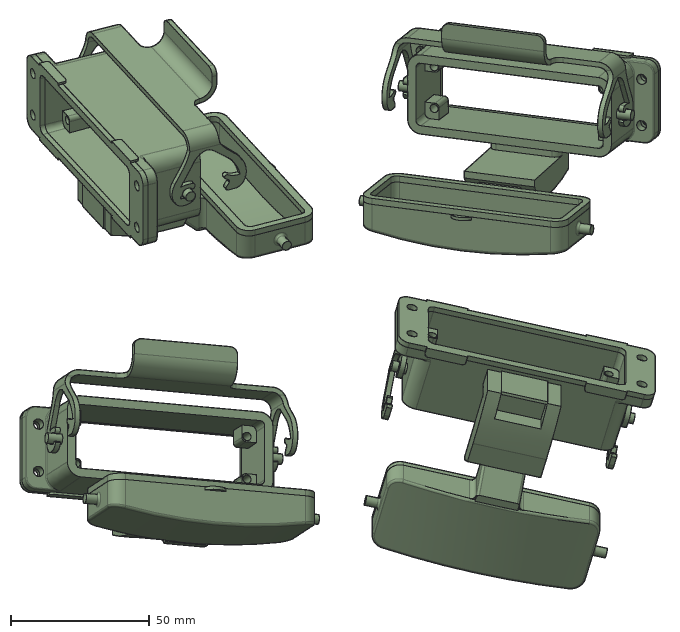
import cadquery as cq
import math


FLANGE_LENGTH = 96.0
FLANGE_HEIGHT = 30.9
FLANGE_CORNER = 4.0
FLANGE_BACK = 6.0
GASKET_THICKNESS = 2.0
BOLT_X = 43.0
BOLT_Z = 8.8
BOLT_DIAMETER = 3.7
CLIP_CENTRE_X = 29.9
CLIP_LENGTH = 15.4
CLIP_DEPTH = 3.7
CLIP_HEIGHT = 0.9
CLIP_CORNER = 1.3

TUBE_BACK = 27.2
TUBE_LENGTH = 80.1
OUTER_DRAFT = 0.7
TUBE_CORNER = 5.5
TUBE_FOOT_FILLET = 0.4
OPENING_LENGTH = 73.9
OPENING_HEIGHT = 24.8
OPENING_DRAFT = 1.0
OPENING_CORNER = 2.4
SCREW_X = 33.0
SCREW_Z = 8.0
SCREW_DIAMETER = 3.1
SCREW_POST_INNER_X = 31.1
SCREW_POST_INNER_Z = 6.0
SCREW_POST_CORNER = 1.5
SCREW_POST_BITE = 1.0
SCREW_POST_FRONT = 9.0
SCREW_POST_LENGTH = 9.0

HOUSING_PIN_RADIUS = 1.9
HOUSING_PIN_Y = 20.5
HOUSING_PIN_END = 45.3
COVER_PIN_RADIUS = 1.8
COVER_PIN_Y = 59.4
COVER_PIN_Z = -31.7
COVER_PIN_END = 45.0
COVER_PIN_FILLET = 0.9

STRAP_THICKNESS = 1.9
STRAP_HALF_WIDTH = 43.0
STRAP_TOP = 23.2
STRAP_BEND = 5.8
STRAP_BEND_END = STRAP_TOP - STRAP_BEND
STRAP_FRONT = 21.3
STRAP_REAR = 33.2
HOOK_BOTTOM = -5.8
LEVER_MARGIN = 1.9
PIN_SEAT_RADIUS = 2.2
SEAT_NOTCH_DEPTH = 2.8
SEAT_NOTCH_BOTTOM = -1.5
SEAT_NOTCH_HEIGHT = 0.7
HANDLE_HALF_WIDTH = 20.0
HANDLE_ROOT_FILLET = 3.3
HANDLE_BACK = 43.5
HANDLE_TOP = 34.2
HANDLE_INNER_BEND = 5.1
HANDLE_CORNER = 2.9

COVER_FRONT = 44.1
COVER_DEPTH = 30.2
COVER_LENGTH = 79.7
COVER_CORNER = 5.1
COVER_TOP = -27.3
COVER_EDGE_BOTTOM = -36.9
COVER_BOTTOM = -41.0
COVER_BOTTOM_FILLET = 1.0
COVER_FLOOR = 2.5
COVER_CAVITY_LENGTH = 74.6
COVER_CAVITY_DEPTH = 24.0
COVER_CAVITY_CORNER = 2.4
SEAL_THICKNESS = 2.3
TONGUE_HALF_WIDTH = 4.0
TONGUE_LENGTH = 2.0
TONGUE_THICKNESS = 1.2
COVER_ARM_HALF_WIDTH = 8.1
COVER_ARM_FILLET = 2.0
COVER_ARM_HEEL_Y = 41.2

BRACKET_HALF_WIDTH = 13.7
BRACKET_FRONT = 3.8
BRACKET_POST_BACK = 13.0
BRACKET_POST_CORNER = 2.8
BRACKET_PAD_HALF_WIDTH = 8.6
BRACKET_PAD_FRONT = 3.3
BRACKET_TOP = -15.3
BRACKET_TOE_Z = -29.4
BRACKET_ARM_ROOT_Z = -22.7
BRACKET_FLAT_FRONT = 25.0
BRACKET_TIP = (37.0, -23.6)
HINGE_TOP = (37.0, -26.2)
HINGE_BOTTOM = (33.0, -33.3)
BRACKET_POCKET_FRONT = 4.2
BRACKET_POCKET_BACK = 13.4
BRACKET_POCKET_TOP = -25.9

COVER_MIDDLE = COVER_FRONT + COVER_DEPTH / 2
SELECTION_MARGIN = 1.0
SIDES = (-1, 1)


def rounded_slab(length, height, corner, y_front, y_back):
    """Upright slab with four rounded corners between two Y positions."""
    slab = cq.Workplane("XZ", origin=(0, y_front, 0)).rect(length, height)
    return slab.extrude(y_front - y_back).edges("|Y").fillet(corner)


def drafted_block(length, height, corner, draft, y_front, y_back):
    """Rounded block whose four sides all lean inward by the draft angle toward the back."""
    outline = cq.Workplane("XZ", origin=(0, y_front, 0)).sketch()
    outline = outline.rect(length, height).vertices().fillet(corner).finalize()
    return outline.extrude(y_back - y_front, taper=draft).mirror("XZ", (0, y_front, 0))


def block(x_range, y_range, z_range):
    low = [min(pair) for pair in (x_range, y_range, z_range)]
    size = [abs(pair[1] - pair[0]) for pair in (x_range, y_range, z_range)]
    return cq.Workplane("XY").box(*size, centered=False).translate(tuple(low))


def side_profile(half_width):
    """Workplane for a Y-Z outline extruded symmetrically about X = 0."""
    return cq.Workplane("YZ", origin=(-half_width, 0, 0))


def concave_fillet(corner, towards, radius, z_top, depth):
    """Upright filler in an inside corner; towards gives the X and Y signs of the open side."""
    (x, y), (i, j) = corner, towards
    reach = radius * (1 - math.sqrt(0.5))
    outline = cq.Workplane("XY", origin=(0, 0, z_top)).moveTo(x, y)
    outline = outline.lineTo(x, y + j * radius)
    outline = outline.threePointArc((x + i * reach, y + j * reach), (x + i * radius, y))
    return outline.close().extrude(-depth)


def rods_along_y(x, z, diameter, y_back):
    """Four rods from Y = 0, at plus and minus x and z."""
    points = [(i * x, k * z) for i in SIDES for k in SIDES]
    return cq.Workplane("XZ").pushPoints(points).circle(diameter / 2).extrude(-y_back)


def front_opening():
    return drafted_block(OPENING_LENGTH, OPENING_HEIGHT, OPENING_CORNER, OPENING_DRAFT, 0, TUBE_BACK)


def make_gasket():
    gasket = rounded_slab(FLANGE_LENGTH, FLANGE_HEIGHT, FLANGE_CORNER, 0, GASKET_THICKNESS)
    edge = FLANGE_HEIGHT / 2
    for i in SIDES:
        for k in SIDES:
            clip = block(
                (i * CLIP_CENTRE_X - CLIP_LENGTH / 2, i * CLIP_CENTRE_X + CLIP_LENGTH / 2),
                (0, CLIP_DEPTH),
                (k * edge, k * (edge + CLIP_HEIGHT)),
            )
            gasket = gasket.union(clip.edges("|Z and >Y").fillet(CLIP_CORNER))
    gasket = gasket.cut(front_opening())
    return gasket.cut(rods_along_y(BOLT_X, BOLT_Z, BOLT_DIAMETER, GASKET_THICKNESS))


def screw_post(i, k):
    """Corner post with a rounded inner edge; it runs outward into the tube wall."""
    post = block(
        (i * SCREW_POST_INNER_X, i * (OPENING_LENGTH / 2 + SCREW_POST_BITE)),
        (SCREW_POST_FRONT, SCREW_POST_FRONT + SCREW_POST_LENGTH),
        (k * SCREW_POST_INNER_Z, k * (OPENING_HEIGHT / 2 + SCREW_POST_BITE)),
    )
    inner_edge = f"|Y and {'<' if i > 0 else '>'}X and {'<' if k > 0 else '>'}Z"
    return post.edges(inner_edge).fillet(SCREW_POST_CORNER)


def make_housing():
    tube = drafted_block(
        TUBE_LENGTH, FLANGE_HEIGHT, TUBE_CORNER, OUTER_DRAFT, GASKET_THICKNESS, TUBE_BACK
    )
    flange = drafted_block(
        FLANGE_LENGTH, FLANGE_HEIGHT, FLANGE_CORNER, OUTER_DRAFT, GASKET_THICKNESS, FLANGE_BACK
    )
    housing = tube.union(flange)
    for i in SIDES:
        shoulder = cq.selectors.BoxSelector(
            (i * (TUBE_LENGTH / 2 - TUBE_CORNER), FLANGE_BACK - TUBE_FOOT_FILLET, -FLANGE_HEIGHT),
            (i * FLANGE_LENGTH / 2, FLANGE_BACK + TUBE_FOOT_FILLET, FLANGE_HEIGHT),
        )
        housing = housing.edges(shoulder).fillet(TUBE_FOOT_FILLET)
    housing = housing.cut(front_opening())
    pin_root = (TUBE_LENGTH + OPENING_LENGTH) / 4
    for i in SIDES:
        for k in SIDES:
            housing = housing.union(screw_post(i, k))
        pin = cq.Workplane("YZ", origin=(i * pin_root, 0, 0))
        pin = pin.center(HOUSING_PIN_Y, 0).circle(HOUSING_PIN_RADIUS)
        housing = housing.union(pin.extrude(i * (HOUSING_PIN_END - pin_root)))
    housing = housing.cut(rods_along_y(BOLT_X, BOLT_Z, BOLT_DIAMETER, FLANGE_BACK))
    return housing.cut(rods_along_y(SCREW_X, SCREW_Z, SCREW_DIAMETER, TUBE_BACK))


def bent_strap():
    """Upside-down U of bent strip, as wide in Y as the whole lever."""
    y_range = (0, HANDLE_BACK + LEVER_MARGIN)
    outer = block((-STRAP_HALF_WIDTH, STRAP_HALF_WIDTH), y_range, (HOOK_BOTTOM, STRAP_TOP))
    outer = outer.edges("|Y and >Z").fillet(STRAP_BEND)
    inner_half = STRAP_HALF_WIDTH - STRAP_THICKNESS
    inner = block((-inner_half, inner_half), y_range, (HOOK_BOTTOM, STRAP_TOP - STRAP_THICKNESS))
    inner = inner.edges("|Y and >Z").fillet(STRAP_BEND - STRAP_THICKNESS)
    return outer.cut(inner)


def lever_outline():
    """Two hooks hanging from the strap: the front one holds the pin, the rear one catches the cover."""
    outline = (
        side_profile(STRAP_HALF_WIDTH)
        .moveTo(STRAP_FRONT, STRAP_TOP)
        .lineTo(STRAP_FRONT, STRAP_BEND_END)
        .spline([(20.6, 15.2), (17.9, 9.5), (15.3, 5.2)], includeCurrent=True)
        .spline(
            [(14.2, 0.9), (15.3, -2.7), (17.5, -4.5), (19.6, -4.7), (21.5, -4.3), (23.6, -2.1)],
            includeCurrent=True,
        )
        .lineTo(22.9, -1.5)
        .lineTo(HOUSING_PIN_Y, -1.5)
        .lineTo(HOUSING_PIN_Y, 1.4)
        .lineTo(22.7, 1.4)
        .threePointArc((23.4, 2.6), (22.1, 3.8))
        .spline([(19.8, 3.8), (17.7, 3.5)], includeCurrent=True)
        .lineTo(22.6, 11.8)
        .spline(
            [(25.2, 15.2), (28.2, 16.4), (33.1, 13.7), (38.0, 9.5), (40.7, 5.4), (41.6, 2.6)],
            includeCurrent=True,
        )
        .spline([(39.7, 2.6), (36.8, 3.6)], includeCurrent=True)
        .threePointArc((35.4, 3.3), (35.5, 2.3))
        .lineTo(37.2, 1.1)
        .lineTo(37.2, 0.3)
        .lineTo(36.1, -1.3)
        .threePointArc((35.9, -2.2), (36.6, -2.9))
        .lineTo(40.1, -2.9)
        .spline(
            [
                (42.2, -1.7),
                (43.9, 1.2),
                (44.0, 4.6),
                (42.2, 8.9),
                (36.2, 14.8),
                (33.9, STRAP_BEND_END),
                (STRAP_REAR, 20.5),
            ],
            includeCurrent=True,
        )
        .lineTo(STRAP_REAR, STRAP_TOP)
        .close()
    )
    return outline.extrude(2 * STRAP_HALF_WIDTH)


def pin_seat():
    """Round seat for the pin, with a small notch in its far wall."""
    length = 2 * STRAP_HALF_WIDTH
    seat = side_profile(STRAP_HALF_WIDTH).center(HOUSING_PIN_Y, 0).circle(PIN_SEAT_RADIUS).extrude(length)
    notch = block(
        (-STRAP_HALF_WIDTH, STRAP_HALF_WIDTH),
        (HOUSING_PIN_Y - SEAT_NOTCH_DEPTH, HOUSING_PIN_Y),
        (SEAT_NOTCH_BOTTOM, SEAT_NOTCH_BOTTOM + SEAT_NOTCH_HEIGHT),
    )
    return seat.union(notch)


def lever_handle():
    """Tab that continues the top of the strap and curls upward."""
    outer_bend = HANDLE_INNER_BEND + STRAP_THICKNESS
    underside = STRAP_TOP - STRAP_THICKNESS
    inner_y = HANDLE_BACK - STRAP_THICKNESS
    width = (-HANDLE_HALF_WIDTH, HANDLE_HALF_WIDTH)
    corner = block(width, (STRAP_REAR, HANDLE_BACK), (underside, HANDLE_TOP))
    corner = corner.edges("|X and >Y and <Z").fillet(outer_bend)
    hollow = block(width, (0, inner_y), (STRAP_TOP, HANDLE_TOP))
    hollow = hollow.edges("|X and >Y and <Z").fillet(HANDLE_INNER_BEND)
    return corner.cut(hollow).edges("|Y and >Z").fillet(HANDLE_CORNER)


def make_lever():
    lever = bent_strap().intersect(lever_outline()).cut(pin_seat())
    lever = lever.union(lever_handle())
    for i in SIDES:
        handle_corner = (i * HANDLE_HALF_WIDTH, STRAP_REAR)
        lever = lever.union(
            concave_fillet(handle_corner, (i, 1), HANDLE_ROOT_FILLET, STRAP_TOP, STRAP_THICKNESS)
        )
    return lever


def belly(clearance):
    """Block whose underside is an arc bulging down along X, raised by the clearance."""
    half = COVER_LENGTH / 2
    edge = COVER_EDGE_BOTTOM + clearance
    profile = cq.Workplane("XZ", origin=(0, COVER_FRONT, 0)).moveTo(-half, COVER_TOP)
    profile = profile.lineTo(-half, edge)
    profile = profile.threePointArc((0, COVER_BOTTOM + clearance), (half, edge))
    return profile.lineTo(half, COVER_TOP).close().extrude(-COVER_DEPTH)


def cover_cavity(z_low, z_high):
    cavity = cq.Workplane("XY", origin=(0, COVER_MIDDLE, z_low))
    cavity = cavity.rect(COVER_CAVITY_LENGTH, COVER_CAVITY_DEPTH).extrude(z_high - z_low)
    return cavity.edges("|Z").fillet(COVER_CAVITY_CORNER)


def cover_pin(i):
    """Side pin that flares into the cover wall with a concave fillet."""
    half = COVER_LENGTH / 2
    r = COVER_PIN_FILLET
    reach = r * (1 - math.sqrt(0.5))
    length = COVER_PIN_END - half
    outline = (
        cq.Workplane("XY")
        .lineTo(0, COVER_PIN_RADIUS + r)
        .threePointArc((reach, COVER_PIN_RADIUS + reach), (r, COVER_PIN_RADIUS))
        .lineTo(length, COVER_PIN_RADIUS)
        .lineTo(length, 0)
        .close()
    )
    pin = outline.revolve(360, (0, 0, 0), (1, 0, 0)).translate((half, COVER_PIN_Y, COVER_PIN_Z))
    return pin if i > 0 else pin.mirror("YZ")


def cover_arm():
    """Arm from the cover's front wall to the slanted hinge face."""
    slope = (HINGE_TOP[0] - HINGE_BOTTOM[0]) / (HINGE_TOP[1] - HINGE_BOTTOM[1])
    hinge_y_at_top = HINGE_TOP[0] + slope * (COVER_TOP - HINGE_TOP[1])
    arm = (
        side_profile(COVER_ARM_HALF_WIDTH)
        .moveTo(COVER_FRONT, COVER_TOP)
        .lineTo(hinge_y_at_top, COVER_TOP)
        .lineTo(*HINGE_BOTTOM)
        .lineTo(COVER_ARM_HEEL_Y, COVER_BOTTOM)
        .lineTo(COVER_FRONT, COVER_BOTTOM)
        .close()
        .extrude(2 * COVER_ARM_HALF_WIDTH)
    )
    heel_to_hinge = cq.selectors.BoxSelector(
        (-BRACKET_HALF_WIDTH, HINGE_BOTTOM[0] + SELECTION_MARGIN, COVER_BOTTOM - SELECTION_MARGIN),
        (BRACKET_HALF_WIDTH, COVER_ARM_HEEL_Y - SELECTION_MARGIN, HINGE_BOTTOM[1] - SELECTION_MARGIN),
    )
    return arm.edges(heel_to_hinge).edges("not |X").fillet(COVER_BOTTOM_FILLET)


def cover_tongue():
    """Thin rounded tongue behind the cover, level with its top."""
    back = COVER_FRONT + COVER_DEPTH
    tongue = cq.Workplane("XY", origin=(0, 0, COVER_TOP)).moveTo(-TONGUE_HALF_WIDTH, back)
    tongue = tongue.threePointArc((0, back + TONGUE_LENGTH), (TONGUE_HALF_WIDTH, back))
    return tongue.close().extrude(-TONGUE_THICKNESS)


def make_cover():
    cover = belly(0).edges("|Z").fillet(COVER_CORNER).faces("<Z").edges().fillet(COVER_BOTTOM_FILLET)
    cavity = cover_cavity(COVER_BOTTOM, COVER_TOP).intersect(belly(COVER_FLOOR))
    cover = cover.cut(cavity).union(cover_tongue()).union(cover_arm())
    for i in SIDES:
        arm_corner = (i * COVER_ARM_HALF_WIDTH, COVER_FRONT)
        fillet_depth = COVER_TOP - COVER_BOTTOM - COVER_BOTTOM_FILLET
        cover = cover.union(cover_pin(i))
        cover = cover.union(
            concave_fillet(arm_corner, (i, -1), COVER_ARM_FILLET, COVER_TOP, fillet_depth)
        )
    return cover


def make_cover_seal():
    seal = cq.Workplane("XY", origin=(0, COVER_MIDDLE, COVER_TOP))
    seal = seal.rect(COVER_LENGTH, COVER_DEPTH).extrude(SEAL_THICKNESS).edges("|Z").fillet(COVER_CORNER)
    return seal.cut(cover_cavity(COVER_TOP, COVER_TOP + SEAL_THICKNESS))


def bracket_body():
    """Post under the flange and the arm that reaches back to the slanted hinge face."""
    return (
        side_profile(BRACKET_HALF_WIDTH)
        .moveTo(BRACKET_PAD_FRONT, BRACKET_TOP)
        .lineTo(BRACKET_POST_BACK, BRACKET_TOP)
        .lineTo(BRACKET_POST_BACK, BRACKET_ARM_ROOT_Z)
        .lineTo(*BRACKET_TIP)
        .lineTo(*HINGE_TOP)
        .lineTo(*HINGE_BOTTOM)
        .lineTo(BRACKET_FLAT_FRONT, HINGE_BOTTOM[1])
        .tangentArcPoint((BRACKET_PAD_FRONT, BRACKET_TOE_Z), relative=False)
        .close()
        .extrude(2 * BRACKET_HALF_WIDTH)
    )


def make_bracket(housing):
    bracket = bracket_body()
    post_corners = cq.selectors.BoxSelector(
        (-BRACKET_HALF_WIDTH - SELECTION_MARGIN, BRACKET_POST_BACK - SELECTION_MARGIN, BRACKET_TIP[1]),
        (BRACKET_HALF_WIDTH + SELECTION_MARGIN, BRACKET_POST_BACK + SELECTION_MARGIN, BRACKET_TOP),
    )
    bracket = bracket.edges("|Z").edges(post_corners).fillet(BRACKET_POST_CORNER)
    for i in SIDES:
        setback = block(
            (i * BRACKET_PAD_HALF_WIDTH, i * BRACKET_HALF_WIDTH),
            (BRACKET_PAD_FRONT, BRACKET_FRONT),
            (HINGE_BOTTOM[1], BRACKET_TOP),
        )
        bracket = bracket.cut(setback)
    pocket = block(
        (-BRACKET_PAD_HALF_WIDTH, BRACKET_PAD_HALF_WIDTH),
        (BRACKET_POCKET_FRONT, BRACKET_POCKET_BACK),
        (HINGE_BOTTOM[1], BRACKET_POCKET_TOP),
    )
    return bracket.cut(pocket).cut(housing)


housing = make_housing()
gasket = make_gasket()
lever = make_lever()
cover = make_cover()
cover_seal = make_cover_seal()
bracket = make_bracket(housing)

result = cq.Compound.makeCompound(
    [housing.val(), gasket.val(), lever.val(), cover.val(), cover_seal.val(), bracket.val()]
)